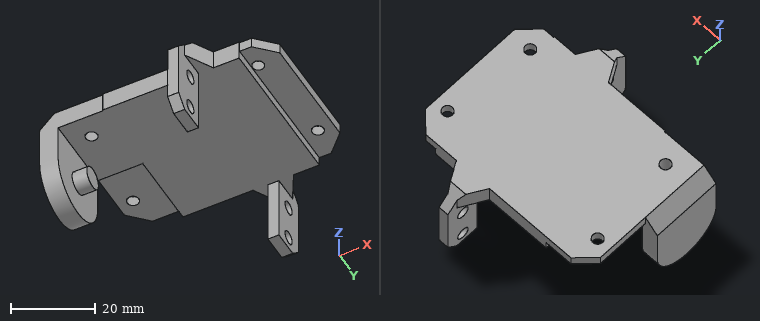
import cadquery as cq

total_length = 62.1
total_width = 60.5
total_height = 25.4

plate_thickness = 3.0
block_thickness = 5.45
leg_width = 10.0
block_half_width = total_width / 2 - leg_width
block_left = 17.15
block_right = 53.9
front_setback = 0.25
plate_front = -block_half_width + front_setback
plate_back = block_half_width
plate_corner = 5.0

tongue_thickness = 5.05
tongue_width = 20.0
tongue_chamfer = 4.0
tongue_radius = tongue_width / 2
tongue_center_y = plate_front + tongue_radius
tongue_center_z = -(total_height - tongue_radius)
pin_diameter = 5.95
pin_length = 4.0

leg_center_x = 41.5
leg_thickness = 3.0
leg_height = 23.85
leg_top_chamfer = 5.0
leg_bottom_chamfer = 3.05
flare_width = 11.0
flare_reach = 6.95
leg_hole_diameter = 3.55
leg_hole_depths = (10.4, 20.4)
back_hole_inset = 5.1
front_hole_inset = 5.9

plate_hole_diameter = 3.05
front_hole_y = 6.3
back_hole_y = 32.05
plate_holes = (
    (10.7, front_hole_y),
    (55.6, front_hole_y),
    (8.1, back_hole_y),
    (57.9, back_hole_y),
)


def box(x_range, y_range, z_range):
    """Box spanning the given (low, high) ranges."""
    size = [high - low for low, high in (x_range, y_range, z_range)]
    corner = (x_range[0], y_range[0], z_range[0])
    return cq.Workplane("XY").box(*size, centered=False).translate(corner)


def make_plate():
    """Thin plate, chamfered at every corner but the one above the tongue."""
    plate_left = tongue_chamfer
    return (
        cq.Workplane("XY")
        .moveTo(plate_left, plate_front)
        .lineTo(total_length - plate_corner, plate_front)
        .lineTo(total_length, plate_front + plate_corner)
        .lineTo(total_length, plate_back - plate_corner)
        .lineTo(total_length - plate_corner, plate_back)
        .lineTo(plate_left + plate_corner, plate_back)
        .lineTo(plate_left, plate_back - plate_corner)
        .close()
        .extrude(-plate_thickness)
    )


def make_block():
    """Thicker middle of the plate, between the two legs."""
    return box(
        (block_left, block_right),
        (-block_half_width, block_half_width),
        (-block_thickness, 0),
    )


def make_tongue():
    """Bent arm with a round lower end and a pin on its inner face."""
    arm = (
        cq.Workplane("XZ", origin=(0, plate_front, 0))
        .moveTo(0, -tongue_chamfer)
        .lineTo(tongue_chamfer, 0)
        .lineTo(block_left, 0)
        .lineTo(block_left, -block_thickness)
        .lineTo(tongue_thickness, -block_thickness)
        .lineTo(tongue_thickness, tongue_center_z)
        .lineTo(0, tongue_center_z)
        .close()
        .extrude(-tongue_width)
    )
    center = (0, tongue_center_y, tongue_center_z)
    round_end = cq.Workplane("YZ", origin=center).circle(tongue_radius).extrude(tongue_thickness)
    pin = (
        cq.Workplane("YZ", origin=center)
        .circle(pin_diameter / 2)
        .extrude(tongue_thickness + pin_length)
    )
    return arm.union(round_end).union(pin)


def make_leg(hole_inset):
    """Leg and flare on the +Y side, with holes set in from the outer edge."""
    outer_y = total_width / 2
    flare_end_y = block_half_width + flare_reach
    leg_left = leg_center_x - leg_thickness / 2
    leg_right = leg_center_x + leg_thickness / 2
    strip = box((leg_left, leg_right), (block_half_width, outer_y), (-leg_height, 0))
    flare = (
        cq.Workplane("XY")
        .moveTo(leg_center_x - flare_width / 2, block_half_width)
        .lineTo(leg_center_x + flare_width / 2, block_half_width)
        .lineTo(leg_right, flare_end_y)
        .lineTo(leg_left, flare_end_y)
        .close()
        .extrude(-block_thickness)
    )
    trim = (
        cq.Workplane("YZ", origin=(leg_center_x, 0, 0))
        .moveTo(block_half_width, 0)
        .lineTo(outer_y - leg_top_chamfer, 0)
        .lineTo(outer_y, -leg_top_chamfer)
        .lineTo(outer_y, -leg_height + leg_bottom_chamfer)
        .lineTo(outer_y - leg_bottom_chamfer, -leg_height)
        .lineTo(block_half_width, -leg_height)
        .close()
        .extrude(flare_width / 2, both=True)
    )
    holes = (
        cq.Workplane("YZ", origin=(leg_center_x, 0, 0))
        .pushPoints([(outer_y - hole_inset, -depth) for depth in leg_hole_depths])
        .circle(leg_hole_diameter / 2)
        .extrude(leg_thickness, both=True)
    )
    return strip.union(flare).intersect(trim).cut(holes)


def make_plate_holes():
    """Cylinders for the four screw holes through the plate."""
    return (
        cq.Workplane("XY", origin=(0, plate_front, 0))
        .pushPoints(plate_holes)
        .circle(plate_hole_diameter / 2)
        .extrude(-block_thickness)
    )


result = make_plate().union(make_block()).union(make_tongue())
result = result.union(make_leg(back_hole_inset))
result = result.union(make_leg(front_hole_inset).mirror("XZ"))
result = result.cut(make_plate_holes())